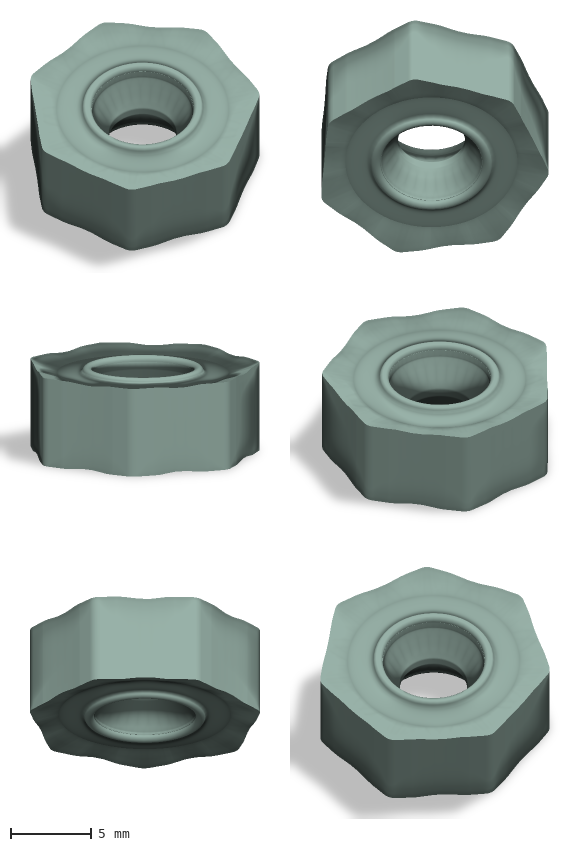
import cadquery as cq
import math

SIDES = 7
THICKNESS = 5.57
HALF_THICKNESS = THICKNESS / 2
HALF_SECTOR = math.pi / SIDES

RIDGE_OFFSET = 6.695
RIDGE_POSITION = 1.82
RIDGE_HALF_WIDTH = 0.045
FLANK_TILT = math.radians(1.9)
CORNER_RADIUS = 0.83

RIDGE_RADIUS = RIDGE_HALF_WIDTH / math.sin(FLANK_TILT)
RIDGE_FOOT = RIDGE_OFFSET - RIDGE_RADIUS * (1 - math.cos(FLANK_TILT))
HOLLOW_END = RIDGE_POSITION - RIDGE_HALF_WIDTH
FLANK_START = RIDGE_POSITION + RIDGE_HALF_WIDTH
HOLLOW_RADIUS = HOLLOW_END / math.sin(FLANK_TILT)
HOLLOW_CENTRE = RIDGE_FOOT + HOLLOW_RADIUS * math.cos(FLANK_TILT)

FLANK_DISTANCE = RIDGE_FOOT * math.cos(FLANK_TILT) + FLANK_START * math.sin(FLANK_TILT)
CORNER_CENTRE = (FLANK_DISTANCE - CORNER_RADIUS) / math.cos(HALF_SECTOR - FLANK_TILT)
CORNER_TIP = CORNER_CENTRE + CORNER_RADIUS
CORNER_U = CORNER_CENTRE * math.sin(HALF_SECTOR)
CORNER_V = CORNER_CENTRE * math.cos(HALF_SECTOR)
FLANK_END = CORNER_U + CORNER_RADIUS * math.sin(FLANK_TILT)
CORNER_END = CORNER_U + CORNER_RADIUS * math.sin(2 * HALF_SECTOR - FLANK_TILT)
SIDE_END = CORNER_TIP * math.sin(HALF_SECTOR)

SEAT_RADIUS = 5.35
SEAT_DEPTH = 0.46
SEAT_Z = HALF_THICKNESS - SEAT_DEPTH
DIP_DEPTH = 0.135
DIP_HOLLOW_END = 1.07
DIP_END = 1.55
LAND_STRETCH = 1.4
SPAN_STEPS = 6

LIP_OUTER_RADIUS = 4.0
LIP_CREST_RADIUS = 3.48
LIP_HEIGHT = 0.37
LIP_CREST_Z = SEAT_Z + LIP_HEIGHT
LIP_MIDDLE_RADIUS = (LIP_OUTER_RADIUS + LIP_CREST_RADIUS) / 2

RIM_RADIUS = 3.17
RIM_Z = LIP_CREST_Z - (LIP_CREST_RADIUS - RIM_RADIUS)
MOUTH_RADIUS = 3.12
MOUTH_ROUND_RADIUS = 0.2
CONE_HALF_ANGLE = math.radians(30)
NECK_RADIUS = 2.1
NECK_ROUND_RADIUS = 0.25
NECK_TOP_Z = 0.04
NECK_BOTTOM_Z = -0.36


def outline_offset(u):
    """Distance v of the outline from the axis at position u along a side."""
    along = abs(u)
    if along <= HOLLOW_END:
        return HOLLOW_CENTRE - math.sqrt(HOLLOW_RADIUS**2 - along**2)
    if along <= FLANK_START:
        from_ridge = along - RIDGE_POSITION
        return RIDGE_OFFSET - RIDGE_RADIUS + math.sqrt(RIDGE_RADIUS**2 - from_ridge**2)
    if along <= FLANK_END:
        return RIDGE_FOOT - (along - FLANK_START) * math.tan(FLANK_TILT)
    return CORNER_V + math.sqrt(CORNER_RADIUS**2 - (along - CORNER_U) ** 2)


def edge_height(u):
    """Height of the cutting edge: level at the corners, with a smooth dip in mid-side."""
    along = abs(u)
    slope = 2 * DIP_DEPTH / DIP_END
    blend = DIP_END - DIP_HOLLOW_END
    if along >= DIP_END:
        return HALF_THICKNESS
    if along >= DIP_HOLLOW_END:
        return HALF_THICKNESS - slope * (DIP_END - along) ** 2 / (2 * blend)
    return HALF_THICKNESS - DIP_DEPTH + slope * along**2 / (2 * DIP_HOLLOW_END)


def side_direction(side):
    """Angle of the outward direction at the middle of a side; side 0 faces -Y."""
    return -math.pi / 2 + side * 2 * HALF_SECTOR


def outline_point(side, u):
    radius = math.hypot(u, outline_offset(u))
    angle = side_direction(side) + math.atan2(u, outline_offset(u))
    return (radius * math.cos(angle), radius * math.sin(angle))


def make_outline_prism():
    """Straight prism on the plan outline, taller than the part; the lands trim it to height."""
    outline = cq.Workplane("XY").moveTo(*outline_point(0, -FLANK_END))
    for side in range(SIDES):
        outline = (
            outline.lineTo(*outline_point(side, -FLANK_START))
            .threePointArc(outline_point(side, -RIDGE_POSITION), outline_point(side, -HOLLOW_END))
            .threePointArc(outline_point(side, 0), outline_point(side, HOLLOW_END))
            .threePointArc(outline_point(side, RIDGE_POSITION), outline_point(side, FLANK_START))
            .lineTo(*outline_point(side, FLANK_END))
            .threePointArc(outline_point(side, SIDE_END), outline_point(side + 1, -FLANK_END))
        )
    return outline.close().extrude(THICKNESS, both=True)


def land_curve(side, start, end, stretch, face):
    """Curve across the land from u = start to end; stretch 0 is the seat rim, 1 the cutting edge."""
    points = []
    for step in range(SPAN_STEPS + 1):
        u = start + (end - start) * step / SPAN_STEPS
        edge_radius = math.hypot(u, outline_offset(u))
        angle = side_direction(side) + math.atan2(u, outline_offset(u))
        radius = SEAT_RADIUS + stretch * (edge_radius - SEAT_RADIUS)
        height = SEAT_Z + stretch * (edge_height(u) - SEAT_Z)
        points.append(cq.Vector(radius * math.cos(angle), radius * math.sin(angle), face * height))
    return cq.Edge.makeSpline(points)


def make_land_body():
    """Oversize solid bounded above and below by the seats and the sloping lands."""
    half_breaks = [DIP_HOLLOW_END, DIP_END, HOLLOW_END, FLANK_START, FLANK_END]
    breaks = [-u for u in reversed(half_breaks)] + half_breaks
    spans = list(zip(breaks, breaks[1:]))
    spans.append((FLANK_END, CORNER_END))
    faces = []
    rims = {1: [], -1: []}
    for side in range(SIDES):
        for start, end in spans:
            outer = {}
            for face in rims:
                rim = land_curve(side, start, end, 0, face)
                outer[face] = land_curve(side, start, end, LAND_STRETCH, face)
                rims[face].append(rim)
                faces.append(cq.Face.makeRuledSurface(rim, outer[face]))
            faces.append(cq.Face.makeRuledSurface(outer[1], outer[-1]))
    for rim_edges in rims.values():
        faces.append(cq.Face.makeFromWires(cq.Wire.assembleEdges(rim_edges)))
    return cq.Workplane(cq.Solid.makeSolid(cq.Shell.makeShell(faces)))


def make_lip():
    """Rounded lip rising from the upper seat, rolling over its crest into the bore mouth."""
    root_radius = (LIP_OUTER_RADIUS + SEAT_RADIUS) / 2
    middle = (LIP_MIDDLE_RADIUS, SEAT_Z + LIP_HEIGHT / 2)
    return (
        cq.Workplane("XZ")
        .moveTo(RIM_RADIUS, SEAT_Z - LIP_HEIGHT)
        .lineTo(root_radius, SEAT_Z - LIP_HEIGHT)
        .lineTo(root_radius, SEAT_Z)
        .lineTo(LIP_OUTER_RADIUS, SEAT_Z)
        .tangentArcPoint(middle, relative=False)
        .tangentArcPoint((LIP_CREST_RADIUS, LIP_CREST_Z), relative=False)
        .tangentArcPoint((RIM_RADIUS, RIM_Z), relative=False)
        .close()
        .revolve(360, (0, 0, 0), (0, 1, 0))
    )


def make_half_bore(neck_end_z):
    """Bore from mid-height upward: neck, screw cone and tapered mouth with rounded blends."""
    cone_top_radius = MOUTH_RADIUS - MOUTH_ROUND_RADIUS * (1 - math.cos(CONE_HALF_ANGLE))
    cone_end_radius = NECK_RADIUS + NECK_ROUND_RADIUS * (1 - math.cos(CONE_HALF_ANGLE))
    cone_end_z = neck_end_z + NECK_ROUND_RADIUS * math.sin(CONE_HALF_ANGLE)
    cone_top_z = cone_end_z + (cone_top_radius - cone_end_radius) / math.tan(CONE_HALF_ANGLE)
    mouth_z = cone_top_z + MOUTH_ROUND_RADIUS * math.sin(CONE_HALF_ANGLE)
    return (
        cq.Workplane("XZ")
        .lineTo(NECK_RADIUS, 0)
        .lineTo(NECK_RADIUS, neck_end_z)
        .tangentArcPoint((cone_end_radius, cone_end_z), relative=False)
        .lineTo(cone_top_radius, cone_top_z)
        .tangentArcPoint((MOUTH_RADIUS, mouth_z), relative=False)
        .lineTo(RIM_RADIUS, RIM_Z)
        .lineTo(RIM_RADIUS, LIP_CREST_Z)
        .lineTo(0, LIP_CREST_Z)
        .close()
        .revolve(360, (0, 0, 0), (0, 1, 0))
    )


upper_lip = make_lip()
upper_bore = make_half_bore(NECK_TOP_Z)
lower_lip = upper_lip.mirror("XY")
lower_bore = make_half_bore(-NECK_BOTTOM_Z).mirror("XY")
insert = make_outline_prism().intersect(make_land_body())
result = insert.union(upper_lip).union(lower_lip).cut(upper_bore).cut(lower_bore)